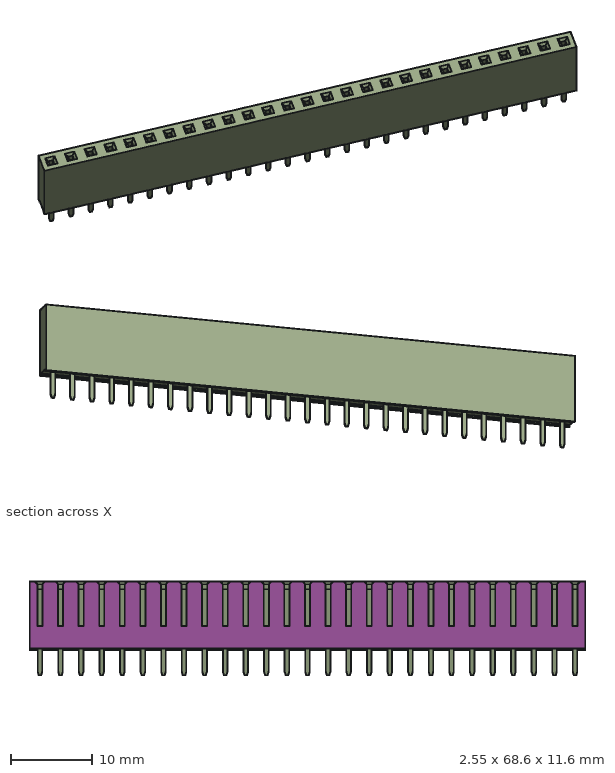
import cadquery as cq

socket_count = 27
body_length = 68.6
body_width = 2.55
body_height = 8.5
overall_height = 11.6
pitch = body_length / socket_count

foot_height = 0.2
foot_width = 0.425
groove_width = body_width - 2 * foot_width

pin_thickness = 0.2
pin_width = 0.6
pin_tip_width = 0.31
pin_tip_length = 0.445
pin_bottom = body_height - overall_height

funnel_mouth = 1.25
bore_side = pin_width
funnel_depth = (funnel_mouth - bore_side) / 2
bore_depth = 5.5
pin_top_depth = 0.95

socket_positions = [(0, (i - (socket_count - 1) / 2) * pitch) for i in range(socket_count)]


def make_housing():
    """Long block standing on two low feet, underside at Z = 0."""
    block = cq.Workplane("XY").box(body_width, body_length, body_height, centered=(True, True, False))
    groove = cq.Workplane("XY").box(groove_width, body_length, foot_height, centered=(True, True, False))
    return block.cut(groove)


def make_socket():
    """Cavity of one socket, centred on the Z axis."""
    funnel = (
        cq.Workplane("XY", origin=(0, 0, body_height))
        .rect(funnel_mouth, funnel_mouth)
        .workplane(offset=-funnel_depth)
        .rect(bore_side, bore_side)
        .loft(ruled=True)
    )
    bore = (
        cq.Workplane("XY", origin=(0, 0, body_height - bore_depth))
        .rect(bore_side, bore_side)
        .extrude(bore_depth - funnel_depth)
    )
    return funnel.union(bore)


def make_pin():
    """One flat pin, running from inside the bore down to its tapered tip."""
    half_width = pin_width / 2
    half_tip = pin_tip_width / 2
    top = body_height - pin_top_depth
    shoulder = pin_bottom + pin_tip_length
    outline = [
        (-half_width, top),
        (-half_width, shoulder),
        (-half_tip, pin_bottom),
        (half_tip, pin_bottom),
        (half_width, shoulder),
        (half_width, top),
    ]
    return cq.Workplane("YZ").polyline(outline).close().extrude(pin_thickness / 2, both=True)


def at_every_socket(shape):
    """Copies of a shape at all socket positions."""
    solid = shape.val()
    return cq.Workplane("XY").pushPoints(socket_positions).eachpoint(lambda place: solid.moved(place))


result = make_housing().cut(at_every_socket(make_socket())).union(at_every_socket(make_pin()))